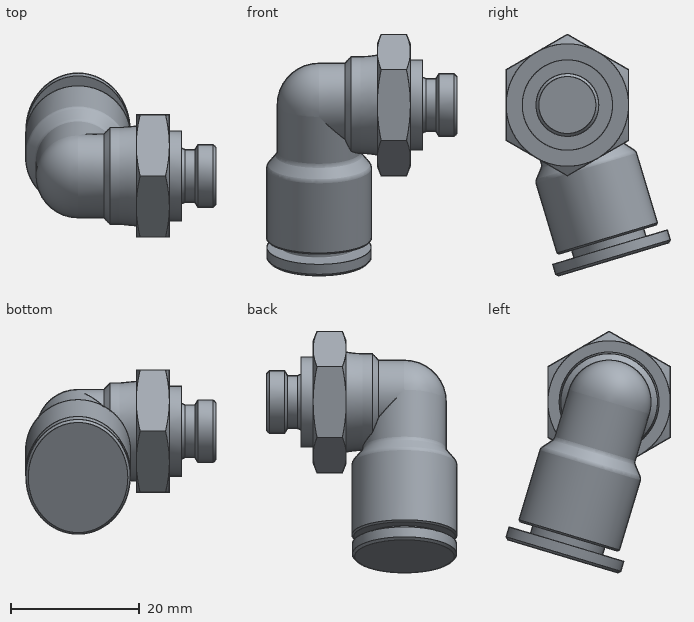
import cadquery as cq
import math

LEG_TILT = 16.7

ELBOW_DIA = 13.0

ARM_CONE_START = 4.0
ARM_CONE_END = 5.0
ARM_SHOULDER_DIA = 15.0
ARM_FLARE_START = 6.45
ARM_FLARE_END_DIA = 15.5
ARM_LENGTH = 9.03

BARREL_DIA = 16.3
BARREL_CONE_START = 7.95
BARREL_CONE_END = 9.93
BARREL_END = 21.75
BARREL_BLEND_RADIUS = 0.95
BARREL_EDGE_CHAMFER = 0.25

RING_NECK_DIA = 11.7
RING_START = 23.0
RING_END = 25.0
RING_LENGTH = 18.58
RING_WIDTH = 16.2
RING_FOOT_FILLET = 0.07
RING_EDGE_CHAMFER = 0.37

HEX_SIDES = 6
HEX_FLATS = 19.0
HEX_END = 14.15
HEX_BEVEL = 0.6
COLLAR_DIA = 14.0
COLLAR_END = 16.07
RELIEF_DIA = 8.2
RELIEF_CONE_RISE = 0.22
RELIEF_CONE_LENGTH = 0.52
THREAD_DIA = 9.75
THREAD_START = 18.13
THREAD_END = 21.4
THREAD_CHAMFER = 0.45

SELECT_MARGIN = 0.2


def make_arm():
    """Ball and horizontal arm with its shoulder, turned about X."""
    r = ELBOW_DIA / 2
    shoulder_r = ARM_SHOULDER_DIA / 2
    return (
        cq.Workplane("XY")
        .moveTo(-r, 0)
        .radiusArc((0, r), r)
        .lineTo(ARM_CONE_START, r)
        .lineTo(ARM_CONE_END, shoulder_r)
        .lineTo(ARM_FLARE_START, shoulder_r)
        .lineTo(ARM_LENGTH, ARM_FLARE_END_DIA / 2)
        .lineTo(ARM_LENGTH, 0)
        .close()
        .revolve(360, (0, 0, 0), (1, 0, 0))
    )


def leg_edges_between(start, end):
    """Selector for edges on the upright leg from one distance along it to another."""
    reach = BARREL_DIA
    return cq.selectors.BoxSelector(
        (-reach, -reach, -end - SELECT_MARGIN),
        (reach, reach, -start + SELECT_MARGIN),
    )


def make_barrel():
    """Tube leg and barrel, turned about Z and pointing down."""
    r = ELBOW_DIA / 2
    barrel_r = BARREL_DIA / 2
    barrel = (
        cq.Workplane("XZ")
        .lineTo(r, 0)
        .lineTo(r, -BARREL_CONE_START)
        .lineTo(barrel_r, -BARREL_CONE_END)
        .lineTo(barrel_r, -BARREL_END)
        .lineTo(0, -BARREL_END)
        .close()
        .revolve(360, (0, 0, 0), (0, 1, 0))
    )
    barrel = barrel.faces("<Z").edges().chamfer(BARREL_EDGE_CHAMFER)
    cone_edges = leg_edges_between(BARREL_CONE_START, BARREL_CONE_END)
    return barrel.edges("%CIRCLE").edges(cone_edges).fillet(BARREL_BLEND_RADIUS)


def make_release_ring():
    """Round neck and oval flange, long across the arm."""
    neck = (
        cq.Workplane("XY")
        .workplane(offset=-RING_START)
        .circle(RING_NECK_DIA / 2)
        .extrude(RING_START - BARREL_END)
    )
    flange = (
        cq.Workplane("XY")
        .workplane(offset=-RING_END)
        .ellipse(RING_WIDTH / 2, RING_LENGTH / 2)
        .extrude(RING_END - RING_START)
        .faces("<Z")
        .edges()
        .chamfer(RING_EDGE_CHAMFER)
    )
    neck_foot = leg_edges_between(RING_START, RING_START)
    return neck.union(flange).edges("%CIRCLE").edges(neck_foot).fillet(RING_FOOT_FILLET)


def make_elbow():
    """Arm joined to the leg, barrel and release ring, with the leg tilted."""
    leg = make_barrel().union(make_release_ring())
    leg = leg.rotate((0, 0, 0), (1, 0, 0), LEG_TILT)
    return make_arm().union(leg)


def make_hex():
    """Hexagon with a corner on top, bevelled at both ends."""
    corner_dia = HEX_FLATS / math.cos(math.pi / HEX_SIDES)
    flat_r = HEX_FLATS / 2
    corner_r = corner_dia / 2
    hexagon = (
        cq.Workplane("YZ")
        .workplane(offset=ARM_LENGTH)
        .transformed(rotate=(0, 0, 90))
        .polygon(HEX_SIDES, corner_dia)
        .extrude(HEX_END - ARM_LENGTH)
    )
    bevel_envelope = (
        cq.Workplane("XY")
        .moveTo(ARM_LENGTH, 0)
        .lineTo(ARM_LENGTH, flat_r)
        .lineTo(ARM_LENGTH + HEX_BEVEL, corner_r)
        .lineTo(HEX_END - HEX_BEVEL, corner_r)
        .lineTo(HEX_END, flat_r)
        .lineTo(HEX_END, 0)
        .close()
        .revolve(360, (0, 0, 0), (1, 0, 0))
    )
    return hexagon.intersect(bevel_envelope)


def make_spigot():
    """Collar, thread relief and thread, turned about X."""
    relief_r = RELIEF_DIA / 2
    thread_r = THREAD_DIA / 2
    return (
        cq.Workplane("XY")
        .moveTo(HEX_END, 0)
        .lineTo(HEX_END, COLLAR_DIA / 2)
        .lineTo(COLLAR_END, COLLAR_DIA / 2)
        .lineTo(COLLAR_END, relief_r + RELIEF_CONE_RISE)
        .lineTo(COLLAR_END + RELIEF_CONE_LENGTH, relief_r)
        .lineTo(THREAD_START, relief_r)
        .lineTo(THREAD_START + THREAD_CHAMFER, thread_r)
        .lineTo(THREAD_END - THREAD_CHAMFER, thread_r)
        .lineTo(THREAD_END, thread_r - THREAD_CHAMFER)
        .lineTo(THREAD_END, 0)
        .close()
        .revolve(360, (0, 0, 0), (1, 0, 0))
    )


def make_stud():
    """Hexagon seated against the arm end, with the threaded spigot."""
    return make_hex().union(make_spigot())


elbow = make_elbow()
stud = make_stud()
result = cq.Compound.makeCompound([elbow.val(), stud.val()])